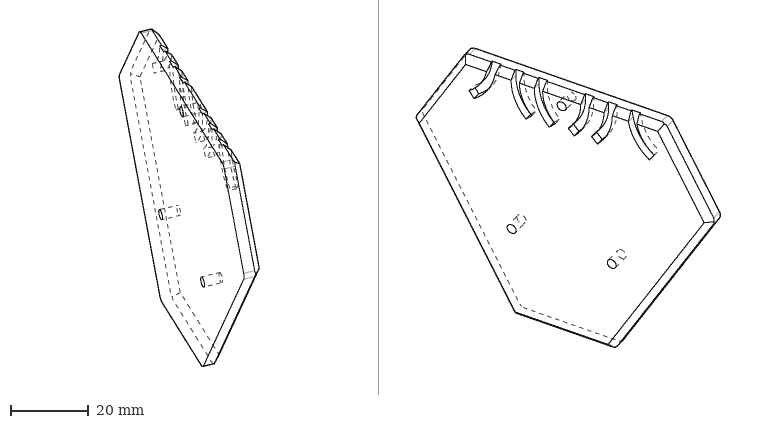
import cadquery as cq
import math

long_side_distance = 34.6
short_side_distance = 43.15
thickness = 5.0
corner_radius = 2.0
back_chamfer = 2.0

hole_diameter = 2.7
top_hole_z = 29.95
lower_hole_x = top_hole_z / 2
lower_hole_z = -top_hole_z / 2

groove_width = 2.5
groove_depth = 2.4
groove_pitch = 6.95
groove_bend_radius = 14.0
groove_bend_angle = 45.0
groove_lead_in = back_chamfer
outer_groove_lean = 10.0
cut_margin = 0.9


def plate_corners():
    """Sharp corners, where each side meets the next one 60 degrees round."""
    turn = math.radians(60)
    distances = [long_side_distance, short_side_distance] * 3
    corners = []
    for index, distance in enumerate(distances):
        next_distance = distances[(index + 1) % len(distances)]
        angle = math.pi / 2 + index * turn
        along = (next_distance - distance * math.cos(turn)) / math.sin(turn)
        x = distance * math.cos(angle) - along * math.sin(angle)
        z = distance * math.sin(angle) + along * math.cos(angle)
        corners.append((x, z))
    return corners


def make_plate():
    """Plate with a mitred chamfer round its back face, then rounded upright corners."""
    prism = cq.Workplane("XZ").polyline(plate_corners()).close().extrude(-thickness)
    rounded_prism = prism.edges("|Y").fillet(corner_radius)
    return prism.faces(">Y").chamfer(back_chamfer).intersect(rounded_prism)


def make_holes():
    """Cutters for the three through holes."""
    centres = [(0, top_hole_z), (-lower_hole_x, lower_hole_z), (lower_hole_x, lower_hole_z)]
    return cq.Workplane("XZ").pushPoints(centres).circle(hole_diameter / 2).extrude(-thickness)


def make_groove(start_x, bend_side, lean):
    """Cutter that runs straight in from the top edge, then bends to +X (1) or -X (-1).

    The whole groove is turned by the lean angle, in degrees, toward its bend.
    """
    centre_x = start_x + bend_side * groove_bend_radius
    centre_z = long_side_distance - groove_lead_in
    inner = groove_bend_radius - groove_width / 2
    outer = groove_bend_radius + groove_width / 2

    def on_arc(radius, degrees):
        angle = math.radians(degrees)
        x = centre_x - bend_side * radius * math.cos(angle)
        z = centre_z - radius * math.sin(angle)
        return (x, z)

    def at_mouth(radius):
        return (centre_x - bend_side * radius, long_side_distance + cut_margin)

    groove = (
        cq.Workplane("XZ", origin=(0, thickness - groove_depth, 0))
        .moveTo(*at_mouth(outer))
        .lineTo(*on_arc(outer, 0))
        .threePointArc(on_arc(outer, groove_bend_angle / 2), on_arc(outer, groove_bend_angle))
        .lineTo(*on_arc(inner, groove_bend_angle))
        .threePointArc(on_arc(inner, groove_bend_angle / 2), on_arc(inner, 0))
        .lineTo(*at_mouth(inner))
        .close()
        .extrude(-groove_depth - cut_margin)
    )
    pivot = (start_x, 0, long_side_distance)
    pivot_axis_end = (start_x, -1, long_side_distance)
    return groove.rotate(pivot, pivot_axis_end, bend_side * lean)


result = make_plate().cut(make_holes())

for side in (-1, 1):
    for step in (1, 2):
        result = result.cut(make_groove(side * step * groove_pitch, -side, 0))
    result = result.cut(make_groove(side * 3 * groove_pitch, side, outer_groove_lean))